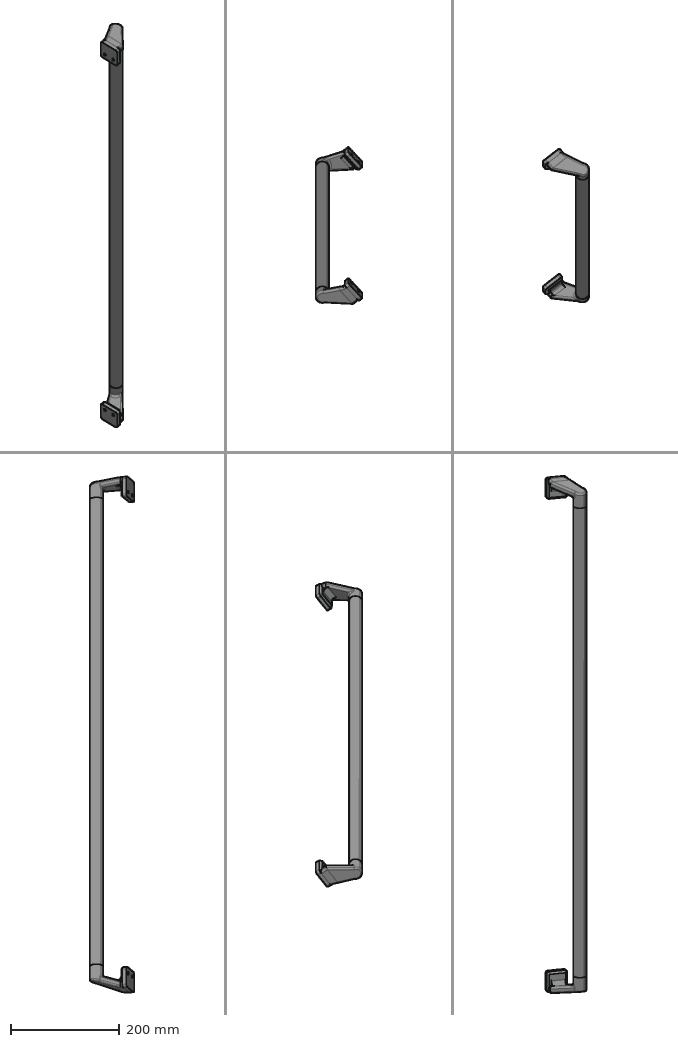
import cadquery as cq
import math

HEIGHT = 1000.0
WIDTH = 62.0
PROJECTION = 68.0

BAR_DIAMETER = 25.0
JOINT_DROP = 43.0

PLATE_SIZE = 40.0
PLATE_THICKNESS = 12.0
PLATE_CORNER_RADIUS = 5.0
PLATE_BEVEL = 4.0

HOLE_DIAMETER = 5.0
HOLE_SPACING = 20.0
HOLE_DROP = 29.0
HOLE_DEPTH = 8.0

ARM_SLOPE = 0.28
ARM_CREST_Y = 21.0
ARM_THICKNESS = 14.0
ARM_RIGHT_INSET = 3.0
ARM_RIGHT_BEND_Y = 21.0
ARM_POST_STEP = 1.0
EDGE_RADIUS = 4.0
ROOT_RADIUS = 8.0
ROOT_SIDE_INSET = 5.0
ROOT_OVERLAP = 2.0
POST_BLEND_RADIUS = 5.0

HALF_HEIGHT = HEIGHT / 2
JOINT_Z = HALF_HEIGHT - JOINT_DROP
BAR_RADIUS = BAR_DIAMETER / 2
BAR_X = BAR_RADIUS
BAR_Y = PROJECTION - BAR_RADIUS
PLATE_LEFT = WIDTH - PLATE_SIZE
PLATE_CENTER_X = WIDTH - PLATE_SIZE / 2
ARM_CREST_END_Y = PLATE_THICKNESS - PLATE_BEVEL

SLOPE_ANGLE = math.atan(ARM_SLOPE)
CREST_RADIUS = (ARM_CREST_Y - ARM_CREST_END_Y) / math.sin(SLOPE_ANGLE)
CREST_FALL = CREST_RADIUS * (1 - math.cos(SLOPE_ANGLE))


def slope_z(y):
    """Height of the arm's sloping top face, extended in both directions."""
    return HALF_HEIGHT - CREST_FALL - ARM_SLOPE * (y - ARM_CREST_Y)


def underside_z(y):
    """Height of the arm's underside, parallel to the slope."""
    return slope_z(y) - ARM_THICKNESS


def arm_end(x, y, side):
    """Point inside the post where an arm side from (x, y) passes closest to the bar axis."""
    dx = x - BAR_X
    dy = y - BAR_Y
    reach = BAR_RADIUS - ARM_POST_STEP
    angle = math.atan2(dy, dx) + side * math.acos(reach / math.hypot(dx, dy))
    return (BAR_X + reach * math.cos(angle), BAR_Y + reach * math.sin(angle))


def arm_plan():
    """Prism over the plan of the arm, tapering from the plate into the post."""
    right_x = WIDTH - ARM_RIGHT_INSET
    return (
        cq.Workplane("XY", origin=(0, 0, JOINT_Z))
        .moveTo(PLATE_LEFT, ARM_CREST_END_Y)
        .lineTo(PLATE_LEFT, PLATE_THICKNESS)
        .lineTo(*arm_end(PLATE_LEFT, PLATE_THICKNESS, -1))
        .lineTo(*arm_end(right_x, ARM_RIGHT_BEND_Y, 1))
        .lineTo(right_x, ARM_RIGHT_BEND_Y)
        .lineTo(right_x, ARM_CREST_END_Y)
        .close()
        .extrude(JOINT_DROP)
    )


def arm_side():
    """Slab with the side profile of the arm, across the whole width."""
    half_angle = SLOPE_ANGLE / 2
    crest_middle = (
        ARM_CREST_END_Y + CREST_RADIUS * math.sin(half_angle),
        HALF_HEIGHT - CREST_RADIUS * (1 - math.cos(half_angle)),
    )
    return (
        cq.Workplane("YZ")
        .moveTo(0, HALF_HEIGHT)
        .lineTo(ARM_CREST_END_Y, HALF_HEIGHT)
        .threePointArc(crest_middle, (ARM_CREST_Y, slope_z(ARM_CREST_Y)))
        .lineTo(PROJECTION, slope_z(PROJECTION))
        .lineTo(PROJECTION, underside_z(PROJECTION))
        .lineTo(0, underside_z(0))
        .close()
        .extrude(WIDTH)
    )


def make_arm():
    """Arm with rounded long edges; its far end lies inside the post."""
    arm = arm_plan().intersect(arm_side())
    return arm.edges("not(|X or |Z)").fillet(EDGE_RADIUS)


def make_root():
    """Hollow blend in the corner between the plate and the underside of the arm."""
    center_y = PLATE_THICKNESS + ROOT_RADIUS
    center_z = underside_z(center_y) - ROOT_RADIUS / math.cos(SLOPE_ANGLE)

    def on_round(angle):
        return (center_y + ROOT_RADIUS * math.cos(angle), center_z + ROOT_RADIUS * math.sin(angle))

    underside_angle = math.pi / 2 - SLOPE_ANGLE
    plate_angle = math.pi
    return (
        cq.Workplane("YZ", origin=(PLATE_LEFT + ROOT_SIDE_INSET, 0, 0))
        .moveTo(*on_round(plate_angle))
        .threePointArc(on_round((plate_angle + underside_angle) / 2), on_round(underside_angle))
        .lineTo(center_y, underside_z(center_y) + ROOT_OVERLAP)
        .lineTo(PLATE_THICKNESS - ROOT_OVERLAP, underside_z(PLATE_THICKNESS))
        .lineTo(PLATE_THICKNESS - ROOT_OVERLAP, center_z)
        .close()
        .extrude(PLATE_SIZE - ARM_RIGHT_INSET - 2 * ROOT_SIDE_INSET)
    )


def round_bar(bottom_z, length):
    """Cylinder on the axis of the bar."""
    return (
        cq.Workplane("XY", origin=(BAR_X, BAR_Y, bottom_z))
        .circle(BAR_RADIUS)
        .extrude(length)
    )


def make_post():
    """Post that continues the bar, cut off along the slope of the arm."""
    waste = (
        cq.Workplane("YZ")
        .moveTo(0, slope_z(0))
        .lineTo(PROJECTION, slope_z(PROJECTION))
        .lineTo(PROJECTION, slope_z(0))
        .close()
        .extrude(WIDTH)
    )
    return round_bar(JOINT_Z, JOINT_DROP).cut(waste).faces(">Z").edges().fillet(EDGE_RADIUS)


def make_plate():
    """Square plate with rounded corners, beveled round its +Y face."""
    center_z = HALF_HEIGHT - PLATE_SIZE / 2
    return (
        cq.Workplane("XZ", origin=(PLATE_CENTER_X, 0, center_z))
        .rect(PLATE_SIZE, PLATE_SIZE)
        .extrude(-PLATE_THICKNESS)
        .edges("|Y")
        .fillet(PLATE_CORNER_RADIUS)
        .faces(">Y")
        .chamfer(PLATE_BEVEL)
    )


def make_body():
    """Arm and post in one, blended where the arm's underside runs into the post."""
    arm_angle = math.atan2(PLATE_THICKNESS - BAR_Y, PLATE_CENTER_X - BAR_X)
    corner_x = BAR_X + BAR_RADIUS * math.cos(arm_angle)
    corner_y = BAR_Y + BAR_RADIUS * math.sin(arm_angle)
    corner = cq.selectors.NearestToPointSelector((corner_x, corner_y, underside_z(corner_y)))
    return make_arm().union(make_post()).edges(corner).fillet(POST_BLEND_RADIUS)


def make_bracket():
    """Upper bracket: plate, arm and post, with screw holes in the mounting face."""
    holes = (
        cq.Workplane("XZ", origin=(PLATE_CENTER_X, 0, HALF_HEIGHT - HOLE_DROP))
        .rarray(HOLE_SPACING, 10, 2, 1)
        .circle(HOLE_DIAMETER / 2)
        .extrude(-HOLE_DEPTH)
    )
    return make_body().union(make_plate()).union(make_root()).cut(holes)


bar = round_bar(-JOINT_Z, 2 * JOINT_Z)
upper_bracket = make_bracket()
lower_bracket = upper_bracket.mirror("XY")

result = cq.Compound.makeCompound([bar.val(), upper_bracket.val(), lower_bracket.val()])